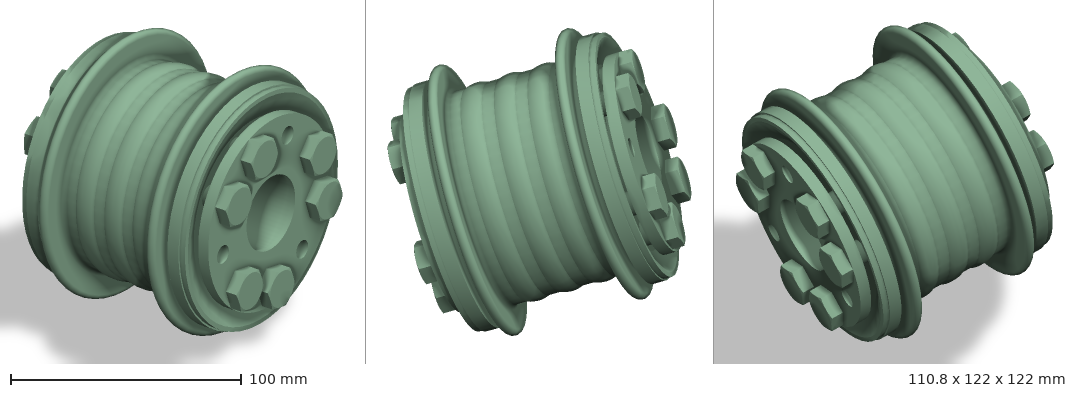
import cadquery as cq
import math

overall_length = 110.8
flange_diameter = 122.0
bore_diameter = 35.0

barrel_radius = 96.1 / 2
rib_height = 1.1
rib_width = 9.8
rib_pitch = 15.4
rib_offsets = (-rib_pitch, 0, rib_pitch)

flange_inner_x = 27.0
flange_thickness = 4.5
flange_outer_x = flange_inner_x + flange_thickness
root_fillet = 2.0

groove_width = 3.8
groove_bottom_radius = 94.5 / 2

rim_start_x = flange_outer_x + groove_width
rim_step_x = 41.2
rim_end_x = 44.2
rim_radius = 111.6 / 2
rim_step_radius = 110.0 / 2

recess_mouth_radius = 53.0
recess_wall_angle = 25
recess_floor_radius = 42.0
disc_radius = 90.0 / 2
disc_outer_x = 49.3
disc_thickness = 5.5
disc_inner_x = disc_outer_x - disc_thickness
sleeve_radius = 55.5 / 2
recess_depth = (recess_mouth_radius - recess_floor_radius) * math.tan(math.radians(recess_wall_angle))
recess_floor_x = rim_end_x - recess_depth

bolt_circle_radius = 35.0
bolt_angles = (30, 70, 150, 190, 270, 310)
hole_angles = (110, 230, 350)
hole_diameter = 8.5
spacer_diameter = 11.0

corner_up_turn = 30
head_across_flats = 17.2
head_face_diameter = 17.1
head_chamfer_height = 0.5
head_height = overall_length / 2 - disc_outer_x
far_head_turn = 20


def cylinder(radius, start_x, end_x):
    """Cylinder on the X axis between two stations."""
    return cq.Workplane("YZ").workplane(offset=start_x).circle(radius).extrude(end_x - start_x)


def on_bolt_circle(body, angle):
    """Move a body from the X axis to its place on the bolt circle."""
    across = bolt_circle_radius * math.cos(math.radians(angle))
    height = bolt_circle_radius * math.sin(math.radians(angle))
    return body.translate((0, -across, height))


def drum_half():
    """Right half of the drum: barrel, flange, groove, rim and end recess."""
    tip_radius = flange_thickness / 2
    tip_start = flange_diameter / 2 - tip_radius
    groove_radius = groove_width / 2
    groove_side = groove_bottom_radius + groove_radius
    fillet_mid = root_fillet * (1 - math.sqrt(0.5))
    profile = (
        cq.Workplane("XY")
        .moveTo(0, 0)
        .lineTo(0, barrel_radius)
        .lineTo(flange_inner_x - root_fillet, barrel_radius)
        .threePointArc(
            (flange_inner_x - fillet_mid, barrel_radius + fillet_mid),
            (flange_inner_x, barrel_radius + root_fillet),
        )
        .lineTo(flange_inner_x, tip_start)
        .threePointArc(
            (flange_inner_x + tip_radius, flange_diameter / 2),
            (flange_outer_x, tip_start),
        )
        .lineTo(flange_outer_x, groove_side)
        .threePointArc(
            (flange_outer_x + groove_radius, groove_bottom_radius),
            (rim_start_x, groove_side),
        )
        .lineTo(rim_start_x, rim_radius)
        .lineTo(rim_step_x, rim_radius)
        .lineTo(rim_step_x, rim_step_radius)
        .lineTo(rim_end_x, rim_step_radius)
        .lineTo(rim_end_x, recess_mouth_radius)
        .lineTo(recess_floor_x, recess_floor_radius)
        .lineTo(recess_floor_x, 0)
        .close()
    )
    return profile.revolve(360, (0, 0, 0), (1, 0, 0))


def rib(center_x):
    """Low crowned ring around the barrel, with an arc for its crown."""
    half = rib_width / 2
    profile = (
        cq.Workplane("XY")
        .moveTo(center_x - half, bore_diameter / 2)
        .lineTo(center_x - half, barrel_radius)
        .threePointArc((center_x, barrel_radius + rib_height), (center_x + half, barrel_radius))
        .lineTo(center_x + half, bore_diameter / 2)
        .close()
    )
    return profile.revolve(360, (0, 0, 0), (1, 0, 0))


def bolt_head(turn):
    """Hexagon head on the X axis, turned from corner-up, its outer corners chamfered."""
    corner_radius = head_across_flats / math.sqrt(3)
    head = (
        cq.Workplane("YZ")
        .workplane(offset=disc_outer_x)
        .polygon(6, 2 * corner_radius)
        .extrude(head_height)
        .rotate((0, 0, 0), (1, 0, 0), corner_up_turn + turn)
    )
    crown_end = disc_outer_x + head_height
    chamfer_start = crown_end - head_chamfer_height
    crown = (
        cq.Workplane("XY")
        .moveTo(disc_outer_x, 0)
        .lineTo(disc_outer_x, corner_radius)
        .lineTo(chamfer_start, corner_radius)
        .lineTo(crown_end, head_face_diameter / 2)
        .lineTo(crown_end, 0)
        .close()
        .revolve(360, (0, 0, 0), (1, 0, 0))
    )
    return head.intersect(crown)


def end_assembly(head_turn):
    """Clamping disc at the +X end with its sleeve, spacers, holes and bolt heads."""
    body = cylinder(disc_radius, disc_inner_x, disc_outer_x)
    hole = cylinder(hole_diameter / 2, disc_inner_x, disc_outer_x)
    for angle in hole_angles:
        body = body.cut(on_bolt_circle(hole, angle))
    body = body.union(cylinder(sleeve_radius, recess_floor_x, disc_inner_x))
    spacer = cylinder(spacer_diameter / 2, recess_floor_x, disc_inner_x)
    head = bolt_head(head_turn)
    for angle in bolt_angles:
        body = body.union(on_bolt_circle(spacer, angle))
        body = body.union(on_bolt_circle(head, angle))
    return body


half = drum_half()
result = half.union(half.mirror("YZ"))
for offset in rib_offsets:
    result = result.union(rib(offset))
result = result.union(end_assembly(far_head_turn))
result = result.union(end_assembly(0).mirror("YZ"))
result = result.cut(cylinder(bore_diameter / 2, -overall_length / 2, overall_length / 2))